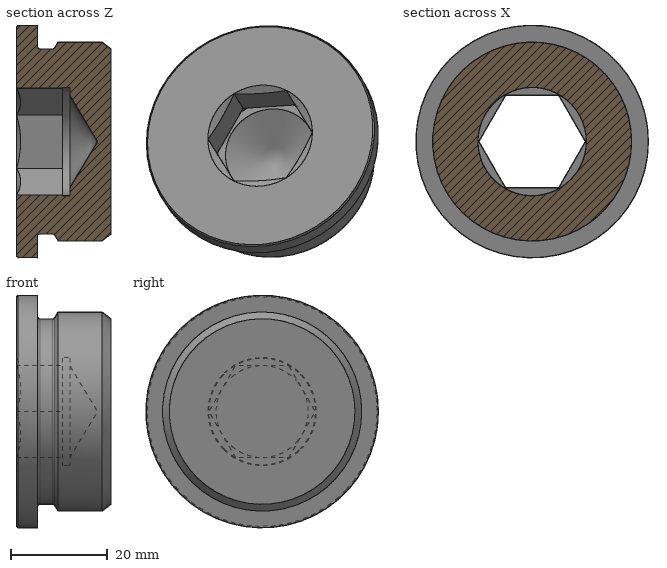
import cadquery as cq
import math

total_length = 19.5

flange_diameter = 48.0
flange_thickness = 4.35
flange_chamfer = 0.3

body_diameter = 41.08
groove_diameter = 38.27
body_start = 8.55
groove_wall_angle = 30.0
groove_fillet = 0.5
tip_diameter = groove_diameter
tip_chamfer_length = 1.83

hex_sides = 6
hex_across_flats = 19.0
hex_across_corners = hex_across_flats / math.cos(math.pi / hex_sides)
hex_depth = 9.5
entry_diameter = 22.0
entry_angle = 30.0

relief_diameter = 22.3
relief_depth = 11.0
drill_diameter = hex_across_flats
drill_point_angle = 118.0


def make_body():
    """Revolve the flange, the groove and the plug body in one profile."""
    flange_radius = flange_diameter / 2
    body_radius = body_diameter / 2
    groove_radius = groove_diameter / 2
    wall_angle = math.radians(groove_wall_angle)
    wall_foot = body_start - (body_radius - groove_radius) * math.tan(wall_angle)

    fillet_turn = math.pi / 2 - wall_angle
    tangent_length = groove_fillet * math.tan(fillet_turn / 2)
    wall_fillet_start = wall_foot - tangent_length
    wall_fillet_end = (
        wall_foot + tangent_length * math.sin(wall_angle),
        groove_radius + tangent_length * math.cos(wall_angle),
    )

    profile = (
        cq.Workplane("XY")
        .moveTo(0, 0)
        .lineTo(0, flange_radius - flange_chamfer)
        .lineTo(flange_chamfer, flange_radius)
        .lineTo(flange_thickness, flange_radius)
        .lineTo(flange_thickness, groove_radius + groove_fillet)
        .radiusArc((flange_thickness + groove_fillet, groove_radius), -groove_fillet)
        .lineTo(wall_fillet_start, groove_radius)
        .radiusArc(wall_fillet_end, -groove_fillet)
        .lineTo(body_start, body_radius)
        .lineTo(total_length - tip_chamfer_length, body_radius)
        .lineTo(total_length, tip_diameter / 2)
        .lineTo(total_length, 0)
        .close()
    )
    return profile.revolve(360, (0, 0, 0), (1, 0, 0))


def make_hexagon():
    """Hexagonal prism with two corners on the Y axis."""
    return cq.Workplane("YZ").polygon(hex_sides, hex_across_corners).extrude(hex_depth)


def make_entry_countersink():
    """Cone that breaks the edges of the hexagon at the flange face."""
    entry_radius = entry_diameter / 2
    cone_depth = entry_radius * math.tan(math.radians(entry_angle))
    return cq.Workplane(cq.Solid.makeCone(entry_radius, 0, cone_depth, cq.Vector(), cq.Vector(1, 0, 0)))


def make_relief():
    """Round relief behind the hexagon with the drill point in its floor."""
    drill_radius = drill_diameter / 2
    point_depth = drill_radius / math.tan(math.radians(drill_point_angle / 2))
    profile = (
        cq.Workplane("XY")
        .moveTo(hex_depth, 0)
        .lineTo(hex_depth, relief_diameter / 2)
        .lineTo(relief_depth, relief_diameter / 2)
        .lineTo(relief_depth, drill_radius)
        .lineTo(relief_depth + point_depth, 0)
        .close()
    )
    return profile.revolve(360, (0, 0, 0), (1, 0, 0))


socket = make_hexagon().union(make_entry_countersink()).union(make_relief())
result = make_body().cut(socket)